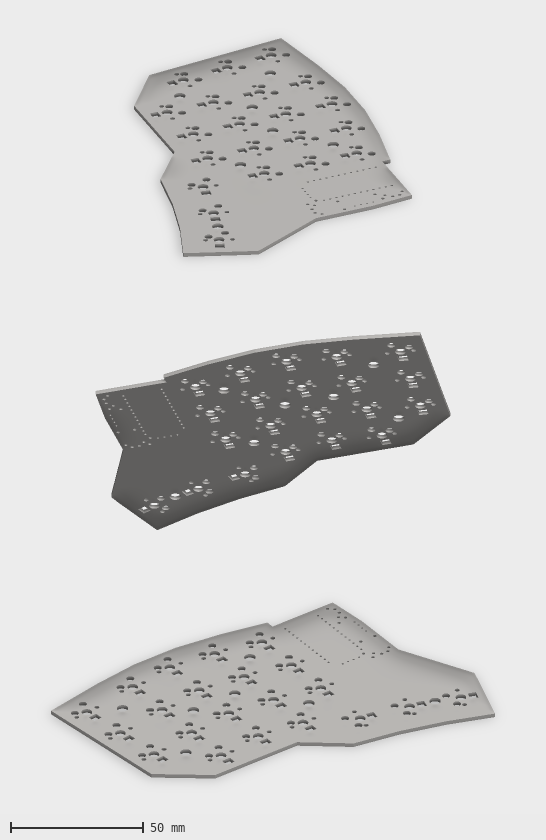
import cadquery as cq
import math

thickness = 1.6
overall_width = 144.7
overall_depth = 106.5
left_x = -overall_width / 2
right_x = overall_width / 2
back_y = overall_depth / 2
front_y = -overall_depth / 2
back_left_y = 46.2
back_shoulder_y = 50.8
back_right_y = 46.9
controller_edge_y = 43.5
controller_corner_x = 56.7
controller_edge_x = 58.3
controller_edge_back_y = 26.8
controller_edge_front_y = 3.3
straight_front_y = -25.3
left_front_corner = (-66.5, -10.7)
thumb_corners = [
    (right_x, -26.3),
    (70.8, -31.1),
    (62.7, front_y),
    (44.7, -46.7),
    (26.5, -41.8),
    (7.5, -38.5),
]

header_pin_count = 12
header_row_length = 28.0
pin_pitch = header_row_length / (header_pin_count - 1)
switch_grid = pin_pitch / 2

rows_per_full_column = 4
column_height = 57.2
key_pitch = column_height / (rows_per_full_column - 1)
first_column_x = -37.9
upright_columns = [(41.2, 4), (43.7, 4), (41.2, 4), (37.2, 3)]
outer_tilt = 6.0
outer_top_key = (-62.0, 37.5)
outer_key_count = 3
thumb_keys = [(19.4, -26.2, 80.0), (39.2, -30.5, 75.0), (58.6, -36.8, 70.0)]

stem_diameter = 4.0
contact_diameter = 3.0
peg_diameter = 1.9
led_window = (3.6, 3.2)
led_offset = 4.8

mount_diameter = 4.3
mount_points = [
    (-49.5, 31.7),
    (9.7, 31.7),
    (-28.5, 15.0),
    (-9.3, 15.0),
    (-47.5, -6.5),
    (9.7, -6.5),
    (49.2, -33.1),
]

header_diameter = 0.9
small_header_diameter = 0.82
header_columns_x = (31.8, 47.0)
header_top_y = 39.5
small_header_pin_count = 4
display_first_pin = (35.6, 7.7)
side_first_pin = (55.7, 28.1)

button_diameter = 1.3
button_left = (50.0, 15.9)
button_span = 6.5

jack_origins = [(47.5, 4.6, 0.0), (54.7, 32.4, 90.0)]
jack_pin_diameter = 1.3
jack_peg_diameter = 1.2
jack_row_gap = 2.0
jack_pins = [(0, 0), (4.0, 0), (7.0, 0), (-1.5, 2 * jack_row_gap)]
jack_pegs = [(1.7, jack_row_gap), (8.8, jack_row_gap)]


def placed(point, x, y, angle):
    """Turn a local point by angle degrees and move it to (x, y)."""
    turn = math.radians(angle)
    u, v = point
    return (
        x + u * math.cos(turn) - v * math.sin(turn),
        y + u * math.sin(turn) + v * math.cos(turn),
    )


def round_cutters(points, diameter):
    return cq.Workplane("XY").pushPoints(points).circle(diameter / 2).extrude(thickness)


def make_plate():
    boundaries = [first_column_x + (i - 0.5) * key_pitch for i in range(len(upright_columns) + 1)]
    back_edge = [
        (left_x, back_left_y),
        (boundaries[0], back_shoulder_y),
        (boundaries[1], back_y),
        (boundaries[2], back_y),
        (boundaries[3], back_shoulder_y),
        (boundaries[4], back_right_y),
    ]
    controller_side = [
        (boundaries[4], controller_edge_y),
        (controller_corner_x, controller_edge_y),
        (controller_edge_x, controller_edge_back_y),
        (controller_edge_x, controller_edge_front_y),
    ]
    front_edge = [
        (boundaries[2], straight_front_y),
        (boundaries[0], straight_front_y),
        left_front_corner,
    ]
    outline = back_edge + controller_side + thumb_corners + front_edge
    return cq.Workplane("XY").polyline(outline).close().extrude(thickness)


def key_places():
    """Centre and rotation of every key."""
    places = list(thumb_keys)
    for column, (top_y, count) in enumerate(upright_columns):
        x = first_column_x + column * key_pitch
        places += [(x, top_y - row * key_pitch, 0.0) for row in range(count)]
    for row in range(outer_key_count):
        x, y = placed((0, -row * key_pitch), *outer_top_key, outer_tilt)
        places.append((x, y, outer_tilt))
    return places


def cut_keys(board):
    """Stem hole, two contact holes, two pegs and an LED window for every key."""
    contacts = [(2 * switch_grid, 4 * switch_grid), (-3 * switch_grid, 2 * switch_grid)]
    pegs = [(-4 * switch_grid, 0), (4 * switch_grid, 0)]
    cutter = (
        round_cutters([(0, 0)], stem_diameter)
        .union(round_cutters(contacts, contact_diameter))
        .union(round_cutters(pegs, peg_diameter))
        .union(cq.Workplane("XY").center(0, -led_offset).rect(*led_window).extrude(thickness))
    )
    for x, y, angle in key_places():
        board = board.cut(cutter.rotate((0, 0, 0), (0, 0, 1), angle).translate((x, y, 0)))
    return board


def cut_headers(board):
    controller_pins = [
        (x, header_top_y - i * pin_pitch) for x in header_columns_x for i in range(header_pin_count)
    ]
    display_x, display_y = display_first_pin
    side_x, side_y = side_first_pin
    small_pins = []
    for i in range(small_header_pin_count):
        small_pins.append((display_x + i * pin_pitch, display_y))
        small_pins.append((side_x, side_y - i * pin_pitch))
    board = board.cut(round_cutters(controller_pins, header_diameter))
    return board.cut(round_cutters(small_pins, small_header_diameter))


def cut_jacks(board):
    for x, y, angle in jack_origins:
        pins = [placed(point, x, y, angle) for point in jack_pins]
        pegs = [placed(point, x, y, angle) for point in jack_pegs]
        board = board.cut(round_cutters(pins, jack_pin_diameter))
        board = board.cut(round_cutters(pegs, jack_peg_diameter))
    return board


def cut_button(board):
    x, y = button_left
    return board.cut(round_cutters([button_left, (x + button_span, y)], button_diameter))


result = make_plate()
result = cut_keys(result)
result = result.cut(round_cutters(mount_points, mount_diameter))
result = cut_headers(result)
result = cut_button(result)
result = cut_jacks(result)